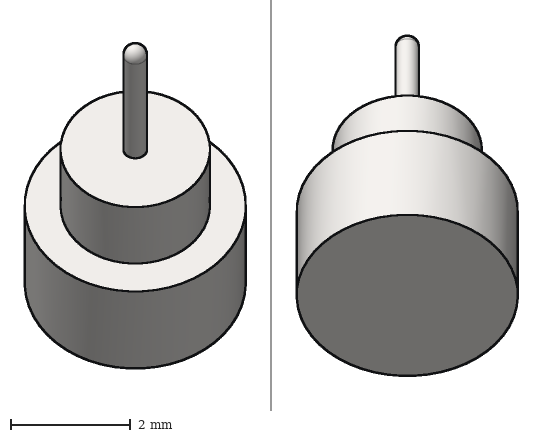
import cadquery as cq

base_diameter = 3.7
base_height = 2.05
neck_diameter = 2.5
neck_height = 1.5
pin_diameter = 0.4
total_height = 6.25

neck_top = base_height + neck_height
pin_length = total_height - neck_top
pin_radius = pin_diameter / 2


def make_cylinder(diameter, height, bottom):
    """Upright cylinder on the Z axis, starting at the given height."""
    return cq.Workplane("XY").workplane(offset=bottom).circle(diameter / 2).extrude(height)


def make_pin():
    """Thin pin standing on the neck, with a hemispherical tip."""
    pin = make_cylinder(pin_diameter, pin_length - pin_radius, neck_top)
    tip = cq.Workplane("XY").sphere(pin_radius).translate((0, 0, total_height - pin_radius))
    return pin.union(tip)


base = make_cylinder(base_diameter, base_height, 0)
neck = make_cylinder(neck_diameter, neck_height, base_height)

result = base.union(neck).union(make_pin())